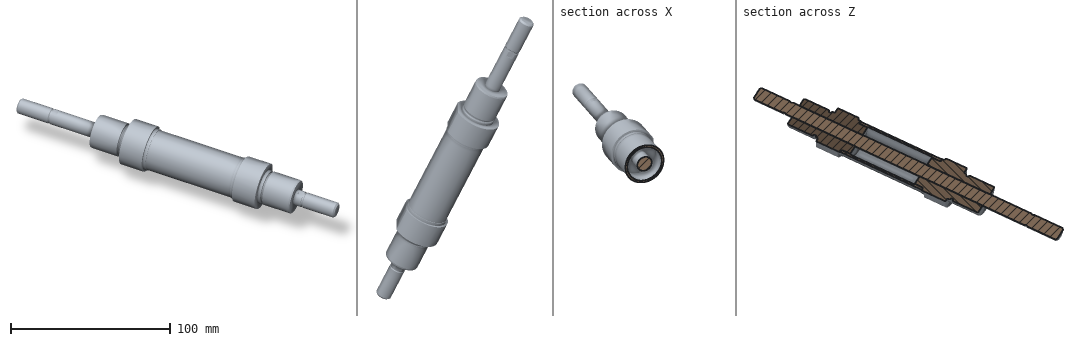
import cadquery as cq

body_length = 137.0
rod_extension_left = 53.0
rod_extension_right = 28.0

rod_radius = 5.0
rod_tip_chamfer = 1.0
thread_length = 22.0
undercut_width = 1.0
undercut_radius = 4.5
undercut_chamfer = rod_radius - undercut_radius
wrench_length = 3.5
flat_height = undercut_radius

nose_radius = 11.0
nose_chamfer_length = 1.0
nose_chamfer_depth = 0.3
groove_start = 18.5
groove_width = 1.5
groove_radius = 9.75
groove_chamfer_length = 0.6
groove_chamfer_depth = 0.2
collar_start = 22.0
collar_end = 37.5
collar_radius = 15.0
collar_flat_y = 13.5
rim_radius = 13.5
cover_length = 39.5

tube_radius = 13.15
tube_bore_radius = 11.5
spigot_length = 6.0

wrench_start = thread_length + undercut_width
groove_end = groove_start + groove_width
cover_face_x = body_length / 2
rod_left_x = -cover_face_x - rod_extension_left
rod_right_x = cover_face_x + rod_extension_right


def revolve_about_x(profile):
    """Turn a closed (x, radius) profile into a solid around the X axis."""
    return cq.Workplane("XZ").polyline(profile).close().revolve(360, (0, 0, 0), (1, 0, 0))


def rod_end_profile(tip_x, inward):
    """Outline of one rod end from its tip to the full rod; inward is +1 or -1 along X."""
    stations = [
        (0, 0),
        (0, rod_radius - rod_tip_chamfer),
        (rod_tip_chamfer, rod_radius),
        (thread_length - undercut_chamfer, rod_radius),
        (thread_length, undercut_radius),
        (wrench_start, undercut_radius),
        (wrench_start, rod_radius),
    ]
    return [(tip_x + inward * distance, radius) for distance, radius in stations]


def wrench_flat_cutter(tip_x, inward, side):
    """Block that cuts one flat beside an undercut; side is +1 for the top, -1 for the bottom."""
    cut_height = rod_radius
    centre_x = tip_x + inward * (wrench_start + wrench_length / 2)
    centre_z = side * (flat_height + cut_height / 2)
    block = cq.Workplane("XY").box(wrench_length, 2 * rod_radius, cut_height)
    return block.translate((centre_x, 0, centre_z))


def make_rod():
    """Through rod that projects from both covers."""
    left_end = rod_end_profile(rod_left_x, 1)
    right_end = rod_end_profile(rod_right_x, -1)
    rod = revolve_about_x(left_end + right_end[::-1])
    for tip_x, inward in ((rod_left_x, 1), (rod_right_x, -1)):
        for side in (1, -1):
            rod = rod.cut(wrench_flat_cutter(tip_x, inward, side))
    return rod


def make_left_cover():
    """End cover bored for the rod, with a spigot that fits inside the tube."""
    stations = [
        (0, rod_radius),
        (0, nose_radius - nose_chamfer_depth),
        (nose_chamfer_length, nose_radius),
        (groove_start, nose_radius),
        (groove_start, groove_radius),
        (groove_end, groove_radius),
        (groove_end, nose_radius - groove_chamfer_depth),
        (groove_end + groove_chamfer_length, nose_radius),
        (collar_start, nose_radius),
        (collar_start, collar_radius),
        (collar_end, collar_radius),
        (collar_end, rim_radius),
        (cover_length, rim_radius),
        (cover_length, tube_bore_radius),
        (cover_length + spigot_length, tube_bore_radius),
        (cover_length + spigot_length, rod_radius),
    ]
    return revolve_about_x([(distance - cover_face_x, radius) for distance, radius in stations])


def cut_collar_flat(cover):
    """Keep the part of the cover on the inner side of the flat at +Y."""
    block_side = 4 * collar_radius
    keep = cq.Workplane("XY").box(body_length, block_side, block_side).translate(
        (0, collar_flat_y - block_side / 2, 0)
    )
    return cover.intersect(keep)


def make_tube():
    half_length = cover_face_x - cover_length
    return revolve_about_x([
        (-half_length, tube_bore_radius),
        (-half_length, tube_radius),
        (half_length, tube_radius),
        (half_length, tube_bore_radius),
    ])


rod = make_rod()
left_cover = cut_collar_flat(make_left_cover())
right_cover = left_cover.mirror("YZ")
tube = make_tube()

result = cq.Compound.makeCompound([rod.val(), left_cover.val(), right_cover.val(), tube.val()])